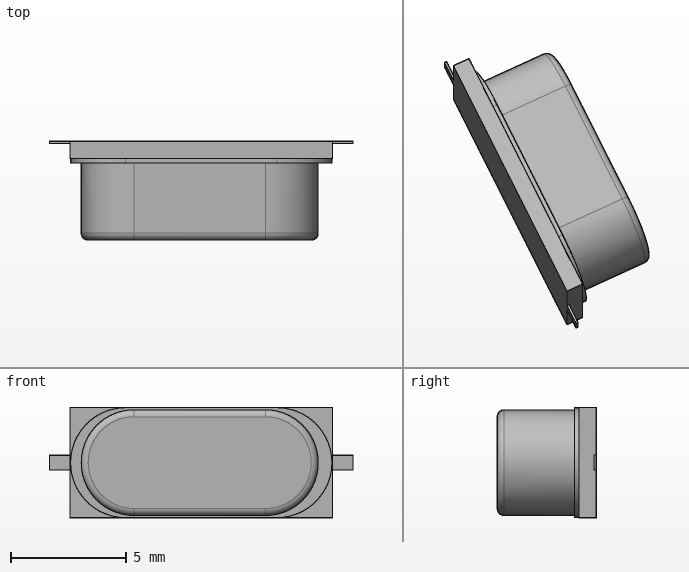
import cadquery as cq

lead_span = 13.2
total_depth = 4.3
base_height = 4.8

base_length = 11.4
base_depth = 0.75

lead_width = 0.65
lead_thickness = 0.1

flange_length = 11.35
flange_height = 4.78
flange_depth = 0.2

can_length = 10.3
can_height = 4.6
can_edge_radius = 0.3
can_offset = -0.07
can_depth = total_depth - base_depth - flange_depth

flange_back = -base_depth
can_back = flange_back - flange_depth


def plate(length, depth, height):
    """Rectangular plate with its back face on Y = 0."""
    return cq.Workplane("XZ").rect(length, height).extrude(depth)


def rounded_body(length, height, back, depth, center_x=0):
    """Body with semicircular ends, extruded toward -Y from the given back face."""
    return cq.Workplane("XZ", origin=(center_x, back, 0)).slot2D(length, height).extrude(depth)


base = plate(base_length, base_depth, base_height)
leads = plate(lead_span, lead_thickness, lead_width)
flange = rounded_body(flange_length, flange_height, flange_back, flange_depth)
can = rounded_body(can_length, can_height, can_back, can_depth, can_offset)
can = can.faces("<Y").edges().fillet(can_edge_radius)

result = base.union(leads).union(flange).union(can)